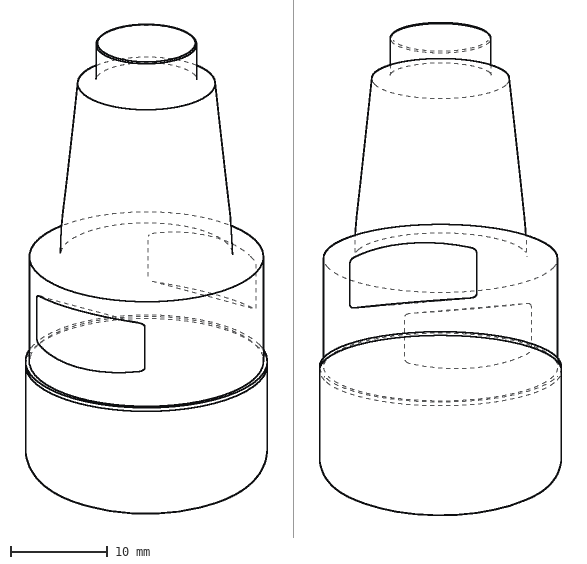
import cadquery as cq
import math

overall_height = 49.6
joint_height = 13.6
flange_top = 14.0
collar_top = 25.7
taper_bottom = 30.2
taper_top = 45.1

cap_radius = 25.0 / 2
cap_rim_radius = 3.0
cap_flat_radius = 5.0
cap_dome_radius = 12.0

collar_radius = 24.2 / 2
root_radius = 8.9
root_fillet = 0.3
taper_angle = math.radians(6.0)
plug_radius = 10.4 / 2
plug_fillet = 0.5
plug_chamfer = 0.15

slot_floor_offset = 10.0
slot_floor_width = 5.26
slot_center_height = 20.6
slot_wall_angle = math.radians(15.0)
slot_corner_fillet = 0.5
slot_cut_depth = 3.0


def arc_point(center, radius, angle):
    """Point on a circle in the (radius, height) plane, angle measured from the radial direction."""
    return (center[0] + radius * math.cos(angle), center[1] + radius * math.sin(angle))


def revolve_profile(profile):
    return profile.close().revolve(360, (0, 0, 0), (0, 1, 0))


def make_cap():
    rim_center_radius = cap_radius - cap_rim_radius
    center_offset = rim_center_radius - cap_flat_radius
    center_distance = cap_dome_radius - cap_rim_radius
    center_rise = math.sqrt(center_distance**2 - center_offset**2)
    dome_center = (cap_flat_radius, cap_dome_radius)
    rim_center = (rim_center_radius, cap_dome_radius - center_rise)

    bottom_angle = -math.pi / 2
    tangent_angle = -math.atan2(center_rise, center_offset)
    dome_middle = arc_point(dome_center, cap_dome_radius, (bottom_angle + tangent_angle) / 2)
    dome_end = arc_point(dome_center, cap_dome_radius, tangent_angle)
    rim_middle = arc_point(rim_center, cap_rim_radius, tangent_angle / 2)
    rim_end = arc_point(rim_center, cap_rim_radius, 0)

    profile = (
        cq.Workplane("XZ")
        .lineTo(cap_flat_radius, 0)
        .threePointArc(dome_middle, dome_end)
        .threePointArc(rim_middle, rim_end)
        .lineTo(cap_radius, joint_height)
        .lineTo(0, joint_height)
    )
    return revolve_profile(profile)


def make_holder_blank():
    root_bottom = collar_top + root_fillet
    root_arc_radius = (taper_bottom - root_bottom) / math.sin(taper_angle)
    root_center = (root_radius - root_arc_radius, root_bottom)
    root_middle = arc_point(root_center, root_arc_radius, taper_angle / 2)
    root_end = arc_point(root_center, root_arc_radius, taper_angle)
    taper_top_radius = root_end[0] - (taper_top - taper_bottom) * math.tan(taper_angle)

    profile = (
        cq.Workplane("XZ")
        .moveTo(0, joint_height)
        .lineTo(cap_radius, joint_height)
        .lineTo(cap_radius, flange_top)
        .lineTo(collar_radius, flange_top)
        .lineTo(collar_radius, collar_top)
        .lineTo(root_radius + root_fillet, collar_top)
        .radiusArc((root_radius, root_bottom), root_fillet)
        .threePointArc(root_middle, root_end)
        .lineTo(taper_top_radius, taper_top)
        .lineTo(plug_radius + plug_fillet, taper_top)
        .radiusArc((plug_radius, taper_top + plug_fillet), plug_fillet)
        .lineTo(plug_radius, overall_height - plug_chamfer)
        .lineTo(plug_radius - plug_chamfer, overall_height)
        .lineTo(0, overall_height)
    )
    return revolve_profile(profile)


def make_slot_cutter(side):
    """Flared wrench-slot cutter; side is -1 for -Y and +1 for +Y."""
    floor_half = slot_floor_width / 2
    mouth_half = floor_half + slot_cut_depth * math.tan(slot_wall_angle)
    floor_y = side * slot_floor_offset
    mouth_y = side * (slot_floor_offset + slot_cut_depth)
    corners = [
        (floor_y, slot_center_height - floor_half),
        (mouth_y, slot_center_height - mouth_half),
        (mouth_y, slot_center_height + mouth_half),
        (floor_y, slot_center_height + floor_half),
    ]
    cutter = cq.Workplane("YZ").polyline(corners).close().extrude(collar_radius, both=True)
    floor_face = "<Y" if side > 0 else ">Y"
    return cutter.faces(floor_face).edges("|X").fillet(slot_corner_fillet)


def make_holder():
    holder = make_holder_blank()
    for side in (-1, 1):
        holder = holder.cut(make_slot_cutter(side))
    return holder.solids()


cap = make_cap()
holder = make_holder()
result = cq.Compound.makeCompound([cap.val(), holder.val()])